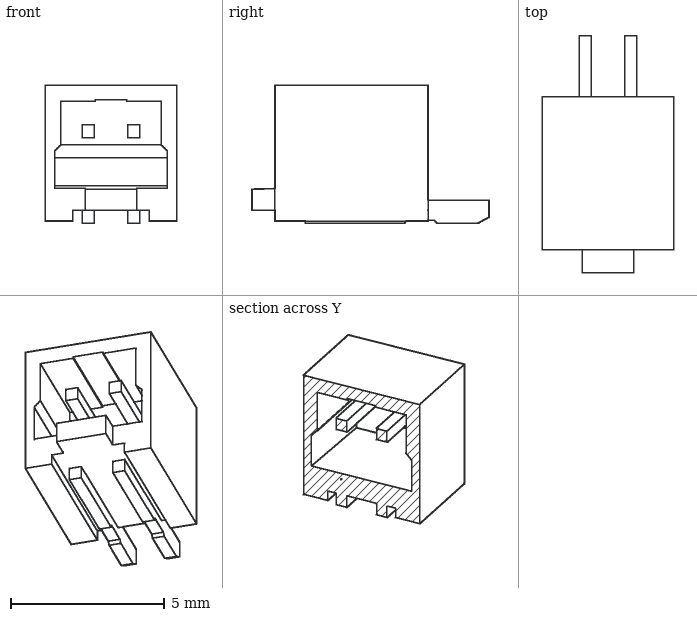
import cadquery as cq


shell_width = 4.3
shell_depth = 5.01
shell_height = 4.44

cavity_depth = 3.72
upper_half_width = 1.635
lower_half_width = 1.845
cavity_top = 3.91
shoulder_top = 2.495
shoulder_bottom = 2.29
key_half_width = 0.51
key_top = 3.97

overhang_bottom = 2.07
overhang_depth = 0.5

tongue_length = 0.75
tongue_width = 1.69
tongue_front_top = 1.05
floor_back_top = 1.16
floor_slope = (floor_back_top - tongue_front_top) / (cavity_depth + tongue_length)
floor_front_top = tongue_front_top + floor_slope * tongue_length

channel_width = 2.495
channel_top = 0.35

contact_offset = 0.745
contact_width = 0.4
prong_front = 0.6
prong_bottom = 2.72
prong_top = 3.15
tail_length = 1.99
tail_top = 0.68
tail_tip_bottom = 0.125
tail_ramp_length = 0.37
contact_bottom = -0.08
bar_front = 0.985
relief_front = 4.29
relief_front_ramp = 0.055
relief_bottom = 0.02
relief_back_ramp = 0.09
relief_overrun = 0.2


def side_profile(points, width, center_x=0):
    """Extrude a (Y, Z) outline along X, centred on center_x."""
    solid = cq.Workplane("YZ").polyline(points).close().extrude(width / 2, both=True)
    return solid.translate((center_x, 0, 0))


def make_cavity():
    right_edge = [
        (lower_half_width, 0),
        (lower_half_width, shoulder_bottom),
        (upper_half_width, shoulder_top),
        (upper_half_width, cavity_top),
        (key_half_width, cavity_top),
        (key_half_width, key_top),
    ]
    left_edge = [(-x, z) for x, z in reversed(right_edge)]
    opening = cq.Workplane("XZ").polyline(right_edge + left_edge).close().extrude(-cavity_depth)
    depth_outline = [
        (0, floor_front_top),
        (cavity_depth, floor_back_top),
        (cavity_depth, overhang_bottom),
        (cavity_depth - overhang_depth, shoulder_top),
        (cavity_depth - overhang_depth, key_top),
        (0, key_top),
    ]
    return opening.intersect(side_profile(depth_outline, 2 * lower_half_width))


def make_tongue():
    outline = [
        (-tongue_length, channel_top),
        (0, channel_top),
        (0, floor_front_top),
        (-tongue_length, tongue_front_top),
    ]
    return side_profile(outline, tongue_width)


def make_shell():
    shell = cq.Workplane("XY").box(shell_width, shell_depth, shell_height, centered=(True, False, False))
    channel = cq.Workplane("XY").box(channel_width, shell_depth, channel_top, centered=(True, False, False))
    return shell.cut(channel).cut(make_cavity()).union(make_tongue())


def make_prong(center_x):
    """Straight contact end, rooted in the back wall of the cavity."""
    outline = [
        (prong_front, prong_bottom),
        (cavity_depth, prong_bottom),
        (cavity_depth, prong_top),
        (prong_front, prong_top),
    ]
    return side_profile(outline, contact_width, center_x)


def make_solder_tail(center_x):
    """Bar along the channel that continues as a taller tail behind the shell."""
    tail_end = shell_depth + tail_length
    relief_back = shell_depth + relief_overrun
    outline = [
        (bar_front, channel_top),
        (bar_front, contact_bottom),
        (relief_front - relief_front_ramp, contact_bottom),
        (relief_front, relief_bottom),
        (relief_back, relief_bottom),
        (relief_back + relief_back_ramp, contact_bottom),
        (tail_end - tail_ramp_length, contact_bottom),
        (tail_end, tail_tip_bottom),
        (tail_end, tail_top),
        (shell_depth, tail_top),
        (shell_depth, channel_top),
    ]
    return side_profile(outline, contact_width, center_x)


result = make_shell()
for contact_x in (-contact_offset, contact_offset):
    result = result.union(make_prong(contact_x)).union(make_solder_tail(contact_x))